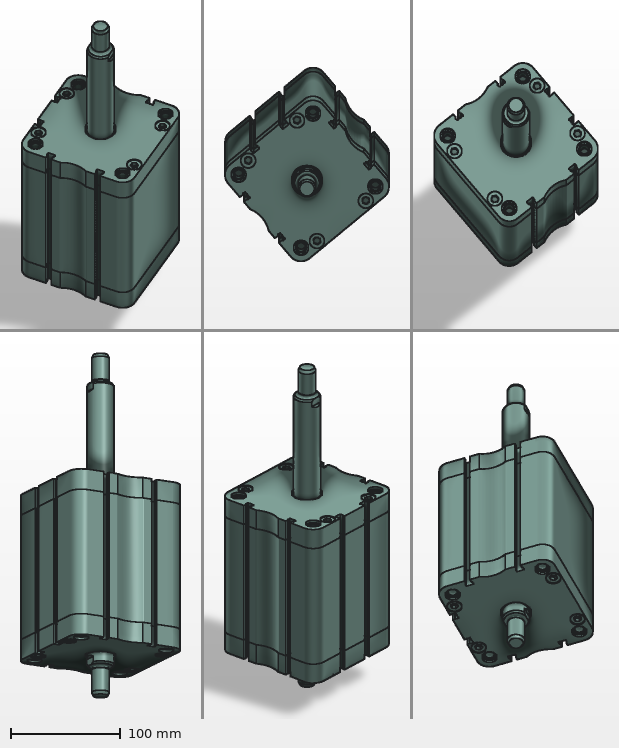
import cadquery as cq
import math

housing_width = 113.5
housing_height = 156.5
cap_thickness = 19.5
barrel_height = housing_height - 2 * cap_thickness
half_width = housing_width / 2
corner_radius = 12.3

cap_recess_half_width = 13.0
recess_depth = 3.2
barrel_recess_bevel = 0.5
barrel_recess_half_width = cap_recess_half_width + barrel_recess_bevel

slot_base_width = 7.0
y_slot_offset = 25.0
y_slot_mouth = 5.5
y_slot_depth = 6.8
y_slot_lip = 4.0
x_slot_offset = 17.5
barrel_x_slot_mouth = 5.5
barrel_x_slot_bevel = 0.5
cap_x_slot_mouth = barrel_x_slot_mouth + 2 * barrel_x_slot_bevel
x_slot_depth = 5.8
x_slot_lip = 2.3

mount_offset = 44.3
mount_recess_diameter = 13.5
mount_recess_depth = 2.5
mount_thread_diameter = 10.0
mount_core_diameter = 8.5
mount_hole_depth = 16.0

screw_x = 48.8
screw_y = 29.0
screw_head_diameter = 13.5
screw_recess_depth = 1.0
hex_across_flats = 6.0
hex_depth = 4.0

wiper_diameter = 28.0
wiper_seat_depth = 4.5
wiper_base_thickness = 1.3
wiper_lip_height = 1.5
wiper_lip_root_diameter = 26.8
wiper_lip_tip_diameter = 25.5

rod_diameter = 25.0
rod_top_reach = 100.5
rod_bottom_reach = 10.3
rod_edge_width = 1.3
rod_edge_height = 2.0
stud_diameter = 16.0
stud_length = 27.8
stud_tip_diameter = 13.2
stud_tip_height = 3.2
neck_diameter = 13.5
neck_length = 3.0
neck_fillet = 1.3
flat_across = 21.5
flat_length = 6.8
flat_runout = 2.0
rod_end_length = flat_length + flat_runout


def cylinder_down(diameter, depth, top):
    """Cylinder about Z that hangs down from a given height."""
    return cq.Workplane("XY").workplane(offset=top).circle(diameter / 2).extrude(-depth)


def housing_blank(height, recess_half_width):
    """Rounded square block with the concave recess along both Y faces."""
    block = cq.Workplane("XY").rect(housing_width, housing_width).extrude(height)
    block = block.edges("|Z").fillet(corner_radius)
    recess_radius = (recess_half_width**2 + recess_depth**2) / (2 * recess_depth)
    recess_centre = half_width - recess_depth + recess_radius
    centres = [(0, side * recess_centre) for side in (-1, 1)]
    recess = cq.Workplane("XY").pushPoints(centres).circle(recess_radius).extrude(height)
    return block.cut(recess)


def t_slot(mouth, depth, lip, height):
    """T-slot cutter that opens at X = 0 and goes in toward +X."""
    neck = cq.Workplane("XY").box(2 * depth, mouth, height, centered=(True, True, False))
    base = cq.Workplane("XY").box(depth - lip, slot_base_width, height, centered=(False, True, False))
    return neck.union(base.translate((lip, 0, 0)))


def cut_slots(body, height, x_slot_mouth):
    """Cut the two slots of the -X face and the two slots of each Y face."""
    x_slot = t_slot(x_slot_mouth, x_slot_depth, x_slot_lip, height).translate((-half_width, 0, 0))
    y_slot = t_slot(y_slot_mouth, y_slot_depth, y_slot_lip, height).translate((-half_width, 0, 0))
    for side in (-1, 1):
        body = body.cut(x_slot.translate((0, side * x_slot_offset, 0)))
        for turn in (-90, 90):
            turned = y_slot.rotate((0, 0, 0), (0, 0, 1), turn)
            body = body.cut(turned.translate((side * y_slot_offset, 0, 0)))
    return body


def edges_at(x, y):
    """Selector for the vertical barrel edge at a place in plan, found by its midpoint."""
    return cq.selectors.NearestToPointSelector((x, y, barrel_height / 2))


def make_barrel():
    """Middle section of the housing, bored for the rod, with bevelled recess and -X slot edges."""
    barrel = housing_blank(barrel_height, barrel_recess_half_width)
    barrel = cut_slots(barrel, barrel_height, barrel_x_slot_mouth)
    for first_side in (-1, 1):
        for second_side in (-1, 1):
            recess_edge = edges_at(first_side * barrel_recess_half_width, second_side * half_width)
            barrel = barrel.edges(recess_edge).chamfer(barrel_recess_bevel)
            slot_edge_y = first_side * x_slot_offset + second_side * barrel_x_slot_mouth / 2
            slot_edge = edges_at(-half_width, slot_edge_y)
            barrel = barrel.edges(slot_edge).chamfer(barrel_x_slot_bevel)
    return barrel.cut(cylinder_down(rod_diameter, barrel_height, barrel_height))


def mount_hole_cutter():
    """Recess, thread countersink and core hole, below a face at Z = cap_thickness."""
    floor = cap_thickness - mount_recess_depth
    recess = cylinder_down(mount_recess_diameter, mount_recess_depth, cap_thickness)
    core = cylinder_down(mount_core_diameter, mount_hole_depth, cap_thickness)
    sink_depth = (mount_thread_diameter - mount_core_diameter) / 2
    sink_bottom = cq.Vector(0, 0, floor - sink_depth)
    sink = cq.Solid.makeCone(mount_core_diameter / 2, mount_thread_diameter / 2, sink_depth, sink_bottom)
    return recess.union(core).union(cq.Workplane(sink))


def screw_cutter():
    """Head recess and hexagonal socket with corners toward -Y and +Y."""
    recess = cylinder_down(screw_head_diameter, screw_recess_depth, cap_thickness)
    hex_diameter = hex_across_flats / math.cos(math.pi / 6)
    socket = cq.Workplane("XY").workplane(offset=cap_thickness).polygon(6, hex_diameter)
    socket = socket.extrude(-hex_depth - screw_recess_depth).rotate((0, 0, 0), (0, 0, 1), 30)
    return recess.union(socket)


def make_cap():
    """End cap standing on Z = 0 with its outer face up."""
    cap = housing_blank(cap_thickness, cap_recess_half_width)
    cap = cut_slots(cap, cap_thickness, cap_x_slot_mouth)
    cap = cap.cut(cylinder_down(rod_diameter, cap_thickness, cap_thickness))
    cap = cap.cut(cylinder_down(wiper_diameter, wiper_seat_depth, cap_thickness))
    for x_side in (-1, 1):
        for y_side in (-1, 1):
            cap = cap.cut(mount_hole_cutter().translate((x_side * mount_offset, y_side * mount_offset, 0)))
            cap = cap.cut(screw_cutter().translate((x_side * screw_x, y_side * screw_y, 0)))
    return cap


def make_rod_end():
    """Rod end pointing up, with its shoulder at Z = 0: wrench flats below and a stud above."""
    neck_radius = neck_diameter / 2
    outline = (
        cq.Workplane("XZ")
        .moveTo(0, -rod_end_length)
        .lineTo(rod_diameter / 2, -rod_end_length)
        .lineTo(rod_diameter / 2, -rod_edge_height)
        .lineTo(rod_diameter / 2 - rod_edge_width, 0)
        .lineTo(neck_radius + neck_fillet, 0)
        .radiusArc((neck_radius, neck_fillet), neck_fillet)
        .lineTo(neck_radius, neck_length)
        .lineTo(stud_diameter / 2, neck_length)
        .lineTo(stud_diameter / 2, stud_length - stud_tip_height)
        .lineTo(stud_tip_diameter / 2, stud_length)
        .lineTo(0, stud_length)
        .close()
    )
    end = outline.revolve(360, (0, 0, 0), (0, 1, 0))
    flat = flat_cutter()
    return end.cut(flat).cut(flat.mirror("YZ"))


def flat_cutter():
    """Cutter for the wrench flat on the +X side, with a sloped run-out at its lower end."""
    outline = [
        (flat_across / 2, 0),
        (flat_across / 2, -flat_length),
        (rod_diameter / 2, -rod_end_length),
        (rod_diameter / 2, 0),
    ]
    return cq.Workplane("XZ").polyline(outline).close().extrude(rod_diameter / 2, both=True)


def make_rod():
    """Through rod with the same end at the top and, mirrored, at the bottom."""
    top = housing_height + rod_top_reach
    bottom = -rod_bottom_reach
    shaft_length = top - bottom - 2 * rod_end_length
    shaft = cylinder_down(rod_diameter, shaft_length, top - rod_end_length)
    end = make_rod_end()
    rod = shaft.union(end.translate((0, 0, top)))
    return rod.union(end.mirror("XY").translate((0, 0, bottom)))


def make_wiper():
    """Wiper ring below Z = cap_thickness, with a conical lip against the rod."""
    seat = cap_thickness - wiper_seat_depth
    shelf = seat + wiper_base_thickness
    tip = shelf + wiper_lip_height
    outline = [
        (rod_diameter / 2, seat),
        (wiper_diameter / 2, seat),
        (wiper_diameter / 2, shelf),
        (wiper_lip_root_diameter / 2, shelf),
        (wiper_lip_tip_diameter / 2, tip),
        (rod_diameter / 2, tip),
    ]
    return cq.Workplane("XZ").polyline(outline).close().revolve(360, (0, 0, 0), (0, 1, 0))


def both_ends(part):
    """Copies of a cap-end part at the top and, mirrored, at the bottom."""
    at_top = part.translate((0, 0, housing_height - cap_thickness))
    at_bottom = part.mirror("XY").translate((0, 0, cap_thickness))
    return [at_top.val(), at_bottom.val()]


barrel = make_barrel().translate((0, 0, cap_thickness))
caps = both_ends(make_cap())
wipers = both_ends(make_wiper())
rod = make_rod()

result = cq.Compound.makeCompound([barrel.val(), *caps, *wipers, rod.val()])